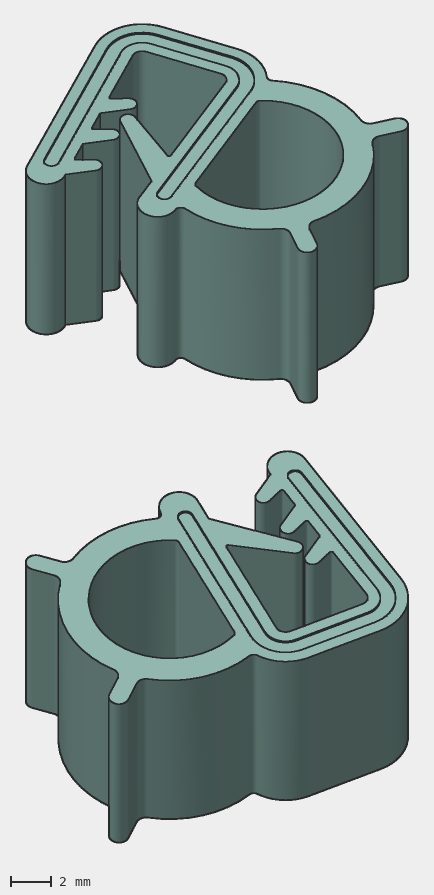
import cadquery as cq
import math

length = 10.0

clip_height = 13.0
clip_width = 9.0
band_thickness = 2.0
corner_outer_radius = 2.5
leg_tilt = 3.0

strip_width = 0.75
strip_setback = 0.75
strip_recess = 0.1

bulb_center = (6.3, 6.35)
bulb_outer_radius = 5.5
bulb_inner_radius = 4.0
tab_reach = 7.05
tab_radius = 0.5
tab_angles = (45.0 - leg_tilt, -45.0 - leg_tilt)

lip_tip_radius = 0.4
lip_half_taper = 5.0
barb_count = 3
barb_pitch = 2.415
barb_top_tip = (-1.24, 7.14)
barb_angle = 30.0
finger_tip = (-0.81, 6.06)
finger_angle = 138.0

tab_fillet = 0.5
bulb_joint_fillet = 0.3
cavity_fillet = 0.25
lip_root_fillet = 0.1

half_band = band_thickness / 2
corner_x = clip_width / 2 - corner_outer_radius
corner_y = clip_height - corner_outer_radius
corner_mid_radius = corner_outer_radius - half_band
leg_end_y = half_band


def polar(origin, radius, angle):
    """Point at a distance and angle from an origin."""
    turn = math.radians(angle)
    return (origin[0] + radius * math.cos(turn), origin[1] + radius * math.sin(turn))


def leg_x(y, offset=0.0):
    """X on the right leg at height y, offset outwards from its centreline."""
    start = polar((corner_x, corner_y), corner_mid_radius + offset, -leg_tilt)
    return start[0] - (start[1] - y) * math.tan(math.radians(leg_tilt))


def meet_leg(point, angle, side, offset=0.0):
    """Where a line through a point meets a leg (side +1 right, -1 left)."""
    leg_slope = side * math.tan(math.radians(leg_tilt))
    leg_at_point = side * leg_x(point[1], offset)
    turn = math.radians(angle)
    travel = (leg_at_point - point[0]) / (math.cos(turn) - leg_slope * math.sin(turn))
    return polar(point, travel, angle)


def circle_crossings(center_a, radius_a, center_b, radius_b):
    """Both points where two circles cross."""
    dx = center_b[0] - center_a[0]
    dy = center_b[1] - center_a[1]
    gap = math.hypot(dx, dy)
    heading = math.degrees(math.atan2(dy, dx))
    cosine = (radius_a**2 + gap**2 - radius_b**2) / (2 * radius_a * gap)
    spread = math.degrees(math.acos(cosine))
    return [polar(center_a, radius_a, heading + sign * spread) for sign in (1, -1)]


def clip_centreline(end_y):
    """Open U path through the middle of the clip band, ending at height end_y."""
    right_corner = (corner_x, corner_y)
    arc_end = polar(right_corner, corner_mid_radius, -leg_tilt)
    arc_mid = polar(right_corner, corner_mid_radius, (90 - leg_tilt) / 2)
    top_y = corner_y + corner_mid_radius
    return (
        cq.Workplane("XY")
        .moveTo(-leg_x(end_y), end_y)
        .lineTo(-arc_end[0], arc_end[1])
        .threePointArc((-arc_mid[0], arc_mid[1]), (-corner_x, top_y))
        .lineTo(corner_x, top_y)
        .threePointArc(arc_mid, arc_end)
        .lineTo(leg_x(end_y), end_y)
    )


def make_cylinder(center, radius):
    return cq.Workplane("XY").center(*center).circle(radius).extrude(length)


def make_bulb(clip):
    """Ring with two radial tabs, trimmed so that none of it enters the clip."""
    bulb = make_cylinder(bulb_center, bulb_outer_radius)
    for angle in tab_angles:
        middle = polar(bulb_center, tab_reach / 2, angle)
        tab = (
            cq.Workplane("XY")
            .center(*middle)
            .slot2D(tab_reach + 2 * tab_radius, 2 * tab_radius, angle)
            .extrude(length)
        )
        bulb = bulb.union(tab)
    clip_inside = clip_centreline(leg_end_y).close().extrude(length)
    return bulb.cut(make_cylinder(bulb_center, bulb_inner_radius)).cut(clip_inside).cut(clip)


def lip_flanks(tip, angle):
    """The two flanks of a lip, each as (tangent point at the tip, flank angle)."""
    flanks = []
    for sign in (1, -1):
        tangent = polar(tip, lip_tip_radius, angle + sign * (90 - lip_half_taper))
        flanks.append((tangent, angle - sign * lip_half_taper))
    return flanks


def make_lip(tip, angle, side):
    """Tapered lip running from a leg centreline to a rounded tip."""
    (first, first_angle), (second, second_angle) = lip_flanks(tip, angle)
    return (
        cq.Workplane("XY")
        .moveTo(*meet_leg(first, first_angle, side))
        .lineTo(*first)
        .threePointArc(polar(tip, lip_tip_radius, angle), second)
        .lineTo(*meet_leg(second, second_angle, side))
        .close()
        .extrude(length)
    )


def fillet_at(body, point, radius):
    """Round the extruded edge that passes closest to a point."""
    target = (point[0], point[1], length / 2)
    return body.edges("|Z").edges(cq.NearestToPointSelector(target)).fillet(radius)


def fillet_bulb(body):
    """Round the tab roots, the outer joints with the clip and the cavity corners."""
    half_root = math.degrees(math.asin(tab_radius / bulb_outer_radius))
    for angle in tab_angles:
        for sign in (1, -1):
            root = polar(bulb_center, bulb_outer_radius, angle + sign * half_root)
            body = fillet_at(body, root, tab_fillet)

    corner = (corner_x, corner_y)
    leg_end = (leg_x(leg_end_y), leg_end_y)
    upper = circle_crossings(corner, corner_outer_radius, bulb_center, bulb_outer_radius)
    lower = circle_crossings(leg_end, half_band, bulb_center, bulb_outer_radius)
    for joint in (max(upper, key=lambda p: p[1]), max(lower, key=lambda p: p[0])):
        body = fillet_at(body, joint, bulb_joint_fillet)

    face_distance = (bulb_center[0] - leg_x(bulb_center[1], half_band)) * math.cos(math.radians(leg_tilt))
    half_chord = math.degrees(math.acos(face_distance / bulb_inner_radius))
    for sign in (1, -1):
        cavity_corner = polar(bulb_center, bulb_inner_radius, 180 - leg_tilt + sign * half_chord)
        body = fillet_at(body, cavity_corner, cavity_fillet)
    return body


barb_tips = []
for index in range(barb_count):
    barb_tips.append(polar(barb_top_tip, index * barb_pitch, leg_tilt - 90))

clip = clip_centreline(leg_end_y).offset2D(half_band).extrude(length)
body = clip.union(make_bulb(clip))

for tip in barb_tips:
    body = body.union(make_lip(tip, barb_angle, -1))
body = body.union(make_lip(finger_tip, finger_angle, 1))

body = fillet_bulb(body)
for tip in barb_tips:
    upper_flank = lip_flanks(tip, barb_angle)[0]
    body = fillet_at(body, meet_leg(*upper_flank, -1, -half_band), lip_root_fillet)
finger_upper_flank = lip_flanks(finger_tip, finger_angle)[1]
body = fillet_at(body, meet_leg(*finger_upper_flank, 1, -half_band), lip_root_fillet)

strip = (
    clip_centreline(leg_end_y + strip_setback)
    .offset2D(strip_width / 2)
    .extrude(strip_recess)
    .translate((0, 0, length - strip_recess))
)
result = body.cut(strip)